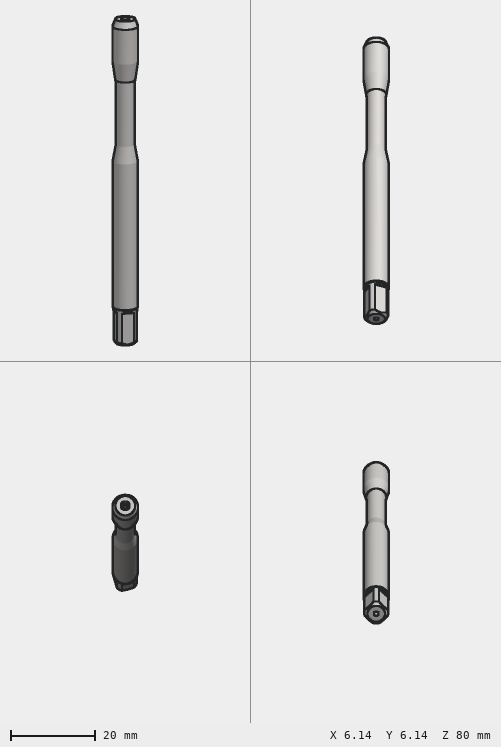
import cadquery as cq
import math

total_length = 80.0

head_diameter = 6.14
nose_diameter = 4.7
nose_length = 1.8
head_shoulder_z = 69.55
head_taper_end_diameter = 4.82
head_taper_length = 4.55
head_relief_length = 0.48

neck_diameter = 4.55
neck_fillet_radius = 1.5

shank_diameter = 6.0
shank_top_z = 44.9
shank_taper_angle = 10.0
shank_bottom_z = 9.0
shank_bottom_chamfer_height = 0.2

drive_diameter = 5.76
drive_across_flats = 4.9
drive_flat_length = 7.98
drive_chamfer = 0.8
drive_chamfer_height = 0.75

hole_diameter = 1.1
pilot_diameter = 1.2
pilot_depth = 2.0
countersink_diameter = 2.1
countersink_angle = 50.0

head_radius = head_diameter / 2
neck_radius = neck_diameter / 2
shank_radius = shank_diameter / 2
drive_radius = drive_diameter / 2


def make_body():
    """Turned body: half profile in the XZ plane, revolved about Z."""
    taper_angle = math.radians(shank_taper_angle)
    taper_length = (shank_radius - neck_radius) / math.tan(taper_angle)
    corner_z = shank_top_z + taper_length
    tangent_length = neck_fillet_radius * math.tan(taper_angle / 2)
    fillet_center_r = neck_radius + neck_fillet_radius
    fillet_top_z = corner_z + tangent_length
    fillet_start = (
        neck_radius + tangent_length * math.sin(taper_angle),
        corner_z - tangent_length * math.cos(taper_angle),
    )
    fillet_middle = (
        fillet_center_r - neck_fillet_radius * math.cos(taper_angle / 2),
        fillet_top_z - neck_fillet_radius * math.sin(taper_angle / 2),
    )

    head_taper_end = (head_taper_end_diameter / 2, head_shoulder_z - head_taper_length)
    relief_start = (neck_radius, head_taper_end[1] - head_relief_length)

    profile = (
        cq.Workplane("XZ")
        .lineTo(drive_radius - drive_chamfer, 0)
        .lineTo(drive_radius, drive_chamfer_height)
        .lineTo(drive_radius, shank_bottom_z - shank_bottom_chamfer_height)
        .lineTo(shank_radius, shank_bottom_z)
        .lineTo(shank_radius, shank_top_z)
        .lineTo(*fillet_start)
        .threePointArc(fillet_middle, (neck_radius, fillet_top_z))
        .lineTo(*relief_start)
        .tangentArcPoint(head_taper_end, relative=False)
        .lineTo(head_radius, head_shoulder_z)
        .lineTo(head_radius, total_length - nose_length)
        .lineTo(nose_diameter / 2, total_length)
        .lineTo(0, total_length)
        .close()
    )
    return profile.revolve(360, (0, 0, 0), (0, 1, 0))


def make_flat_cutter():
    """Cutter for the +X drive flat, with a 45 degree run-out at its upper end."""
    flat_x = drive_across_flats / 2
    runout = shank_radius - flat_x
    return (
        cq.Workplane("XZ")
        .moveTo(flat_x, 0)
        .lineTo(flat_x, drive_flat_length)
        .lineTo(flat_x + runout, drive_flat_length + runout)
        .lineTo(flat_x + runout, 0)
        .close()
        .extrude(shank_radius, both=True)
    )


def cut_square_drive(body):
    cutter = make_flat_cutter()
    for quarter_turn in range(4):
        body = body.cut(cutter.rotate((0, 0, 0), (0, 0, 1), 90 * quarter_turn))
    return body


def cut_axial_hole(body):
    top = body.faces(">Z").workplane(origin=(0, 0, total_length))
    body = top.cskHole(pilot_diameter, countersink_diameter, countersink_angle, depth=pilot_depth)
    through_hole = cq.Workplane("XY").circle(hole_diameter / 2).extrude(total_length)
    return body.cut(through_hole)


result = cut_axial_hole(cut_square_drive(make_body()))